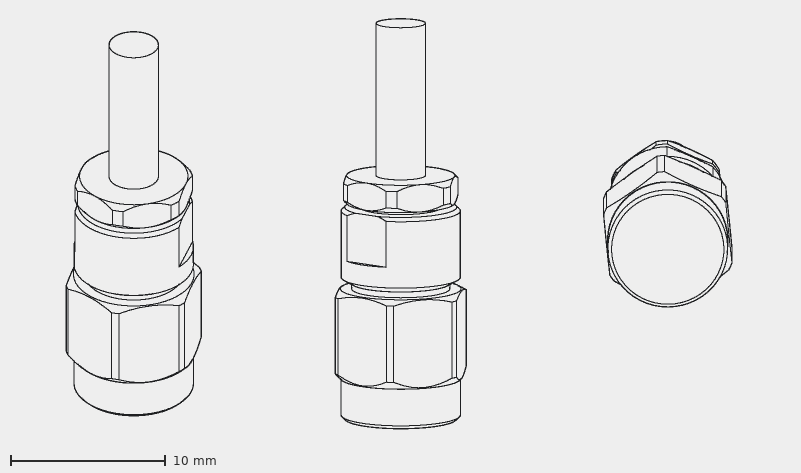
import cadquery as cq
import math


SLEEVE_RADIUS = 3.87
SLEEVE_EDGE_CHAMFER = 0.24
COUPLING_FLATS = 7.94
COUPLING_CORNERS = 8.9
COUPLING_BOTTOM = 2.65
COUPLING_TOP = 8.53
COUPLING_END_RADIUS = 3.9
COUPLING_LOWER_ANGLE = 45.0
COUPLING_UPPER_ANGLE = 30.0

NECK_RADIUS = 3.175

BODY_RADIUS = 3.86
BODY_BOTTOM = 8.91
BODY_TOP = 13.89
BODY_LOWER_CHAMFER_RADIAL = 0.66
BODY_LOWER_CHAMFER_HEIGHT = 0.38
BODY_UPPER_CHAMFER = 0.24
WRENCH_FLATS = 7.0
WRENCH_FLAT_BOTTOM = 10.64

STEM_RADIUS = 2.62
CLAMP_FLATS = WRENCH_FLATS
CLAMP_CORNERS = 7.7
CLAMP_HEIGHT = 1.8
CLAMP_END_RADIUS = CLAMP_FLATS / 2
CLAMP_CHAMFER_ANGLE = 45.0

CABLE_RADIUS = 1.6
CABLE_LENGTH = 10.0
OVERALL_HEIGHT = 25.98

HEX_SIDES = 6

CLAMP_TOP = OVERALL_HEIGHT - CABLE_LENGTH
CLAMP_BOTTOM = CLAMP_TOP - CLAMP_HEIGHT


def cylinder(radius, bottom, top):
    """Solid cylinder on the Z axis between two heights."""
    return cq.Workplane("XY").workplane(offset=bottom).circle(radius).extrude(top - bottom)


def revolve_profile(points):
    """Solid of revolution about Z from (radius, height) points."""
    return cq.Workplane("XZ").polyline(points).close().revolve(360, (0, 0), (0, 1))


def hex_nut(flats, corners, bottom, top, end_radius, lower_angle, upper_angle):
    """Hexagon with flats facing +X and -X, its corners turned round and chamfered at both ends."""
    corner_radius = corners / 2
    radial = corner_radius - end_radius
    lower_height = radial * math.tan(math.radians(lower_angle))
    upper_height = radial * math.tan(math.radians(upper_angle))
    hexagon = (
        cq.Workplane("XY")
        .workplane(offset=bottom)
        .polygon(HEX_SIDES, flats / math.cos(math.pi / HEX_SIDES))
        .extrude(top - bottom)
        .rotate((0, 0, 0), (0, 0, 1), 180 / HEX_SIDES)
    )
    turned_blank = revolve_profile([
        (0, bottom),
        (end_radius, bottom),
        (corner_radius, bottom + lower_height),
        (corner_radius, top - upper_height),
        (end_radius, top),
        (0, top),
    ])
    return hexagon.intersect(turned_blank)


def make_sleeve():
    sleeve = cylinder(SLEEVE_RADIUS, 0, COUPLING_BOTTOM)
    return sleeve.faces("<Z").edges().chamfer(SLEEVE_EDGE_CHAMFER)


def make_body():
    turned = revolve_profile([
        (0, BODY_BOTTOM),
        (BODY_RADIUS - BODY_LOWER_CHAMFER_RADIAL, BODY_BOTTOM),
        (BODY_RADIUS, BODY_BOTTOM + BODY_LOWER_CHAMFER_HEIGHT),
        (BODY_RADIUS, BODY_TOP - BODY_UPPER_CHAMFER),
        (BODY_RADIUS - BODY_UPPER_CHAMFER, BODY_TOP),
        (0, BODY_TOP),
    ])
    cutter_width = BODY_RADIUS
    cutter_height = BODY_TOP - WRENCH_FLAT_BOTTOM
    for side in (-1, 1):
        cutter = (
            cq.Workplane("XY")
            .workplane(offset=WRENCH_FLAT_BOTTOM)
            .center(side * (WRENCH_FLATS + cutter_width) / 2, 0)
            .rect(cutter_width, 2 * BODY_RADIUS)
            .extrude(cutter_height)
        )
        turned = turned.cut(cutter)
    return turned


coupling_nut = hex_nut(
    COUPLING_FLATS, COUPLING_CORNERS, COUPLING_BOTTOM, COUPLING_TOP,
    COUPLING_END_RADIUS, COUPLING_LOWER_ANGLE, COUPLING_UPPER_ANGLE,
)
clamp_nut = hex_nut(
    CLAMP_FLATS, CLAMP_CORNERS, CLAMP_BOTTOM, CLAMP_TOP,
    CLAMP_END_RADIUS, CLAMP_CHAMFER_ANGLE, CLAMP_CHAMFER_ANGLE,
)

result = (
    make_sleeve()
    .union(coupling_nut)
    .union(cylinder(NECK_RADIUS, COUPLING_TOP, BODY_BOTTOM))
    .union(make_body())
    .union(cylinder(STEM_RADIUS, BODY_TOP, CLAMP_BOTTOM))
    .union(clamp_nut)
    .union(cylinder(CABLE_RADIUS, CLAMP_TOP, OVERALL_HEIGHT))
)